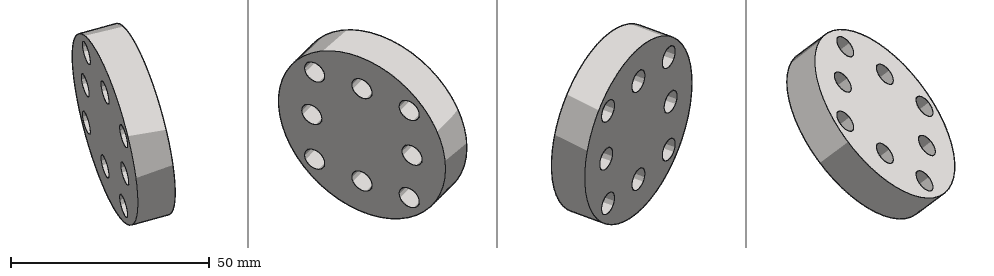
import cadquery as cq

disc_diameter = 50.0
thickness = 10.0
hole_diameter = 6.0
inner_circle_radius = 15.0
outer_circle_radius = 20.0
holes_per_circle = 4
diagonal_angle = 45.0


def hole_ring(radius, start_angle):
    """Through-hole cutters evenly spaced on a circle around the Y axis."""
    return (
        cq.Workplane("XZ")
        .polarArray(radius, start_angle, 360, holes_per_circle)
        .circle(hole_diameter / 2)
        .extrude(thickness)
    )


disc = cq.Workplane("XZ").circle(disc_diameter / 2).extrude(thickness)

result = disc.cut(hole_ring(inner_circle_radius, 0)).cut(hole_ring(outer_circle_radius, diagonal_angle))